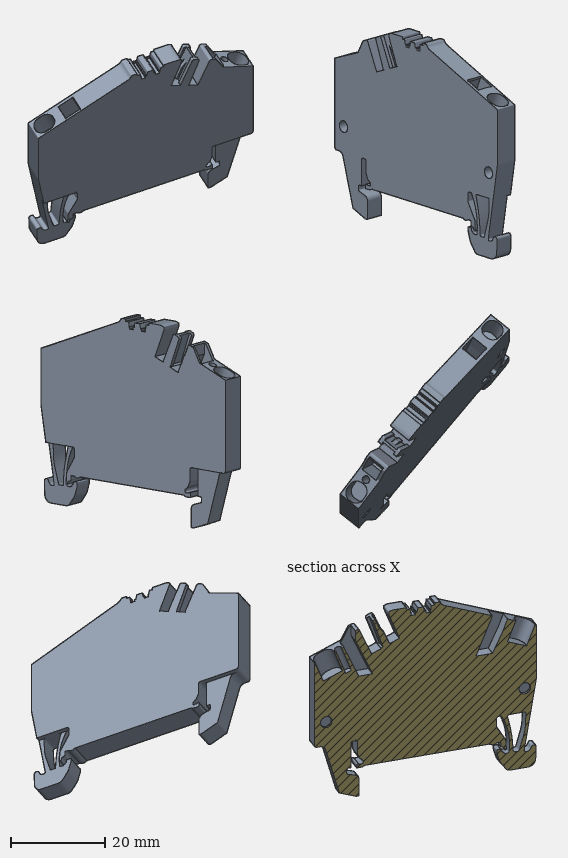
import cadquery as cq
import math

length = 50.5
thickness = 5.1
half_length = length / 2
half_thickness = thickness / 2
top_z = 43.25
shoulder_z = 33.7
base_z = 7.05
foot_root_z = 13.35
foot_side_x = 1.55
through = 1.0

tooth_z = 42.7
groove_floor_z = 41.65

front_slope_end = (-4.05, 42.3)
rear_slope_end = (18.15, 36.45)
front_slope = math.atan2(front_slope_end[1] - shoulder_z, half_length + front_slope_end[0])
rear_slope = math.atan2(rear_slope_end[1] - shoulder_z, half_length - rear_slope_end[0])

front_entry_y = -22.65
rear_entry_y = 22.9
entry_width = 4.2
entry_height = 4.65
entry_corner_radius = 1.85
entry_depth = 5.05
test_hole_y = 19.7
test_hole_diameter = 1.6
test_hole_depth = 6.05

driver_x_min = -1.75
driver_x_max = 2.0
driver_floor_z = 28.8

blade_recess_half_width = 1.64
rib_half_width = 0.55
blade_front_root = (8.15, 35.3)
blade_clearance_z = 41.9

locating_hole_diameter = 2.5
locating_hole_y = 22.5
locating_hole_z = 19.05
locating_hole_depth = 2.5

marker_pocket_width = 0.9
marker_pocket_depth = 0.5
marker_pocket_x_min = -2.35
marker_pocket_centers = (2.8, -0.55)

top_edge = [
    (half_length, shoulder_z, 0),
    (*rear_slope_end, 0.25),
    (16.45, 39.55, 0.4),
    (15.15, 40.1, 0.5),
    (12.2, 33.6, 0),
    (10.1, 34.45, 0),
    (12.6, 41.15, 0.4),
    (11.05, 41.85, 0.4),
    (*blade_front_root, 0),
    (5.95, 36.15, 0),
    (8.4, 42.2, 0.25),
    (8.4, 42.9, 0.2),
    (7.75, 43.2, 0),
    (7.25, top_z, 0),
    (4.3, top_z, 0.15),
    (4.2, tooth_z, 0),
    (3.55, tooth_z, 0.15),
    (3.3, groove_floor_z, 0),
    (2.0, groove_floor_z, 0),
    (1.75, tooth_z, 0),
    (0.45, tooth_z, 0.15),
    (0.2, groove_floor_z, 0),
    (-1.1, groove_floor_z, 0),
    (-1.25, tooth_z, 0),
    (-2.05, tooth_z, 0),
    (-2.05, top_z, 0),
    (-3.3, top_z, 0.5),
    (-3.8, 42.4, 1.4),
    (-half_length, shoulder_z, 0.25),
]
front_foot = [
    (-half_length, 21.2, 1.5),
    (-22.35, 3.9, 0.35),
    (-23.6, 3.9, 1.0),
    (-24.15, 5.2, 0.5),
    (-25.15, 5.2, 0.6),
    (-25.0, 0, 1.8),
    (-18.6, 0, 1.25),
    (-16.8, 2.35, 3.05),
    (-16.1, 4.7, 1.0),
    (-16.1, 5.55, 0.25),
    (-17.15, 5.55, 0.25),
    (-17.2, 5.0, 0.25),
    (-18.05, 4.3, 0.4),
    (-18.9, 4.3, 0.35),
    (-19.05, 6.05, 2.0),
    (-18.85, 10.3, 13.65),
    (-17.15, foot_root_z, 0.25),
    (-16.1, foot_root_z, 0.5),
    (-16.1, 11.1, 0.25),
    (-18.25, 7.5, 0.4),
    (-18.45, 5.05, 0.15),
    (-18.0, 5.05, 0.15),
    (-17.9, 5.65, 0.15),
    (-17.05, 5.95, 0.15),
    (-17.05, base_z, 0.2),
    (-16.25, base_z, 0),
    (-15.55, 6.75, 0.2),
    (-15.15, 6.75, 0.2),
    (-14.55, base_z, 0),
]
rear_foot = [
    (13.75, base_z, 0),
    (14.45, 6.75, 0.25),
    (15.65, 6.75, 0.2),
    (15.65, 7.85, 0.2),
    (15.25, 7.85, 0.1),
    (15.15, 7.7, 0.1),
    (14.2, 7.7, 0.3),
    (14.2, 8.35, 0.25),
    (15.05, 9.1, 0.25),
    (15.5, 10.25, 0.5),
    (15.5, foot_root_z, 0.45),
    (16.85, foot_root_z, 0.35),
    (16.85, base_z, 0.15),
    (17.85, base_z, 0.2),
    (17.85, 5.8, 0.3),
    (15.05, 4.95, 1.2),
    (15.05, 0, 0.25),
    (15.75, 0, 0.15),
    (19.6, 1.5, 0.15),
    (23.0, foot_root_z, 1.25),
    (half_length, foot_root_z, 0.6),
]
leg_window = [
    (-18.55, foot_root_z, 0.35),
    (-19.7, 9.1, 32.8),
    (-19.95, 4.3, 0.35),
    (-21.15, 4.3, 0.25),
    (-22.55, 9.2, 10.1),
    (-22.7, foot_root_z, 0.3),
]


def rounded_outline(corners, x_start):
    """Closed YZ outline whose corners are rounded with tangent arcs."""
    vectors = [cq.Vector(y, z) for y, z, _ in corners]
    outline = None
    for i, (y, z, radius) in enumerate(corners):
        corner = vectors[i]
        back = (vectors[i - 1] - corner).normalized()
        ahead = (vectors[(i + 1) % len(corners)] - corner).normalized()
        half_angle = back.getAngle(ahead) / 2
        setback = radius / math.tan(half_angle)
        entry = corner + back * setback
        if outline is None:
            outline = cq.Workplane("YZ", origin=(x_start, 0, 0)).moveTo(entry.x, entry.y)
        else:
            outline = outline.lineTo(entry.x, entry.y)
        if radius > 0:
            leave = corner + ahead * setback
            bisector = (back + ahead).normalized()
            middle = corner + bisector * (radius / math.sin(half_angle) - radius)
            outline = outline.threePointArc((middle.x, middle.y), (leave.x, leave.y))
    return outline.close()


def prism(points, x_min, x_max):
    """Sharp-cornered YZ polygon extruded between two X positions."""
    return cq.Workplane("YZ", origin=(x_min, 0, 0)).polyline(points).close().extrude(x_max - x_min)


def slope_plane(y, slope):
    """Workplane on a sloped top face at y, its normal pointing into the plate."""
    side = math.copysign(1, y)
    z = shoulder_z + (half_length - abs(y)) * math.tan(slope)
    inward = (0, -side * math.sin(slope), -math.cos(slope))
    return cq.Workplane(cq.Plane(origin=(0, y, z), xDir=(1, 0, 0), normal=inward))


def wire_entry(y, slope):
    """Blind bore with a strongly rounded rectangular section, square to the slope."""
    face = slope_plane(y, slope)
    bore = (
        face.workplane(offset=-through)
        .rect(entry_width, entry_height)
        .extrude(entry_depth + through)
    )
    side_edges = cq.selectors.ParallelDirSelector(face.plane.zDir)
    return bore.edges(side_edges).fillet(entry_corner_radius)


body = rounded_outline(top_edge + front_foot + rear_foot, -half_thickness).extrude(thickness)
body = body.cut(rounded_outline(leg_window, -half_thickness).extrude(thickness))

front_foot_clearance = [
    (-half_length - through, foot_root_z),
    (-16.4, foot_root_z),
    (-16.65, 11.35),
    (-18.55, 7.6),
    (-18.55, 4.7),
    (-18.0, 4.75),
    (-17.25, 5.65),
    (-15.15, 5.8),
    (-15.15, -through),
    (-half_length - through, -through),
]
rear_foot_clearance = [
    (half_length + through, foot_root_z),
    (16.15, foot_root_z),
    (16.15, 6.25),
    (14.65, 6.25),
    (14.65, -through),
    (half_length + through, -through),
]
for clearance in (front_foot_clearance, rear_foot_clearance):
    body = body.cut(prism(clearance, foot_side_x, half_thickness + through))

body = body.cut(wire_entry(front_entry_y, front_slope))
body = body.cut(wire_entry(rear_entry_y, rear_slope))
test_hole = slope_plane(test_hole_y, rear_slope).circle(test_hole_diameter / 2).extrude(test_hole_depth)
body = body.cut(test_hole)

front_driver_pocket = [
    (-18.6, top_z),
    (-18.6, 36.4),
    (-17.35, 33.4),
    (-15.15, driver_floor_z),
    (-11.5, driver_floor_z),
    (-15.1, 37.35),
    (-15.1, top_z),
]
rear_driver_pocket = [
    (18.55, top_z),
    (18.55, 36.3),
    (18.3, 35.75),
    (15.15, driver_floor_z),
    (12.05, driver_floor_z),
    (15.95, 37.35),
    (15.95, top_z),
]
for pocket in (front_driver_pocket, rear_driver_pocket):
    body = body.cut(prism(pocket, driver_x_min, driver_x_max))

rear_recess = [
    (12.6, blade_clearance_z),
    (12.15, blade_clearance_z),
    (9.75, 34.85),
    (10.1, 34.45),
    (12.6, 41.15),
]
front_recess_root = (8.5, 35.15)
front_recess = [
    (11.55, blade_clearance_z),
    (10.85, blade_clearance_z),
    blade_front_root,
    front_recess_root,
]
for recess in (rear_recess, front_recess):
    body = body.cut(prism(recess, -blade_recess_half_width, blade_recess_half_width))

rib = [
    (10.45, 39.45),
    (9.4, 38.25),
    blade_front_root,
    front_recess_root,
]
body = body.union(prism(rib, -rib_half_width, rib_half_width))

body = body.cut(
    cq.Workplane("YZ", origin=(-half_thickness, 0, 0))
    .pushPoints([(-locating_hole_y, locating_hole_z), (locating_hole_y, locating_hole_z)])
    .circle(locating_hole_diameter / 2)
    .extrude(locating_hole_depth)
)

for y in marker_pocket_centers:
    body = body.cut(
        cq.Workplane("XY", origin=(marker_pocket_x_min, y - marker_pocket_width / 2, groove_floor_z))
        .rect(half_thickness - marker_pocket_x_min, marker_pocket_width, centered=False)
        .extrude(-marker_pocket_depth)
    )

result = body